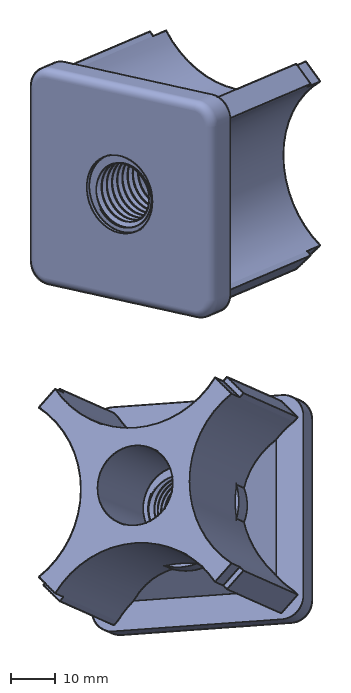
import cadquery as cq
import math

flange_side = 50.7
flange_thickness = 7.0
flange_corner_radius = 5.0
flange_edge_radius = 2.0

total_length = 44.3
arm_tip_near = 19.15
arm_tip_far = 23.1
waist = 13.05
pad_thickness = 1.25
pad_end = 39.4
ramp_base = 18.8

insert_radius = 13.9
insert_front = 1.0
insert_back = 17.0
opening_radius = 9.0
thread_pitch = 2.0
minor_radius = 6.9
thread_flank_angle = 30.0
thread_depth = 1.05
thread_root_width = thread_pitch / 4
thread_overlap = 0.15
thread_runout = 1.5
thread_start_angle = 45


def xz_plane(y):
    """Plane at the given Y whose normal points along +Y, away from the flange face."""
    return cq.Plane(origin=(0, y, 0), xDir=(1, 0, 0), normal=(0, 1, 0))


def cylinder(radius, start, end):
    return cq.Workplane(xz_plane(start)).circle(radius).extrude(end - start)


def make_flange():
    plate = cq.Workplane(xz_plane(0)).rect(flange_side, flange_side).extrude(flange_thickness)
    plate = plate.edges("|Y").fillet(flange_corner_radius)
    return plate.faces("<Y").edges().fillet(flange_edge_radius)


def make_arms():
    """Star section: four flat arm ends joined by four concave arcs."""
    near, far = arm_tip_near, arm_tip_far
    section = (
        cq.Workplane(xz_plane(flange_thickness))
        .moveTo(near, far)
        .threePointArc((0, waist), (-near, far))
        .lineTo(-far, near)
        .threePointArc((-waist, 0), (-far, -near))
        .lineTo(-near, -far)
        .threePointArc((0, -waist), (near, -far))
        .lineTo(far, -near)
        .threePointArc((waist, 0), (far, near))
        .close()
    )
    return section.extrude(total_length - flange_thickness)


def make_pad(angle):
    """Raised strip on the end of the arm at the given angle about Y."""
    length = pad_end - flange_thickness
    width = (arm_tip_far - arm_tip_near) * math.sqrt(2)
    arm_reach = (arm_tip_far + arm_tip_near) / math.sqrt(2)
    pad = cq.Workplane("XY").box(pad_thickness, length, width, centered=(False, False, True))
    pad = pad.translate((arm_reach, flange_thickness, 0))
    return pad.rotate((0, 0, 0), (0, 1, 0), angle)


def make_root_block():
    """Block with 45 degree sides that fills the concave sides next to the flange."""
    height = ramp_base - waist
    base = cq.Workplane(xz_plane(flange_thickness)).rect(2 * ramp_base, 2 * ramp_base)
    return base.workplane(offset=height).rect(2 * waist, 2 * waist).loft(ruled=True)


def make_plug():
    plug = make_flange().union(make_arms()).union(make_root_block())
    for arm in range(4):
        plug = plug.union(make_pad(45 + 90 * arm))
    plug = plug.cut(cylinder(opening_radius, 0, total_length))
    return plug.cut(cylinder(insert_radius, insert_front, insert_back))


def make_thread_groove():
    """Right-hand helical groove that runs out past both ends of the insert."""
    length = insert_back - insert_front + thread_runout * thread_pitch
    flank_slope = math.tan(math.radians(thread_flank_angle))
    inner_half = thread_root_width / 2 + (thread_depth + thread_overlap) * flank_slope
    inner = minor_radius - thread_overlap
    outer = minor_radius + thread_depth
    helix = cq.Workplane(obj=cq.Wire.makeHelix(thread_pitch, length, inner))
    groove = (
        cq.Workplane("XZ")
        .moveTo(inner, -inner_half)
        .lineTo(outer, -thread_root_width / 2)
        .lineTo(outer, thread_root_width / 2)
        .lineTo(inner, inner_half)
        .close()
        .sweep(helix, isFrenet=True)
    )
    groove = groove.rotate((0, 0, 0), (0, 0, 1), thread_start_angle)
    groove = groove.rotate((0, 0, 0), (1, 0, 0), -90)
    return groove.translate((0, insert_front - thread_pitch, 0))


def make_insert():
    insert = cylinder(insert_radius, insert_front, insert_back)
    insert = insert.cut(cylinder(minor_radius, insert_front, insert_back))
    return insert.cut(make_thread_groove())


plug = make_plug()
insert = make_insert()

result = cq.Compound.makeCompound([plug.val(), insert.val()])